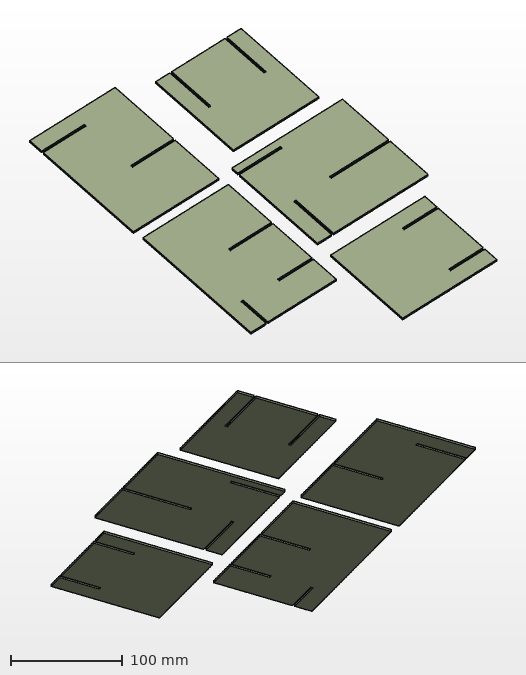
import cadquery as cq


thickness = 2.25
slot_width = thickness

layout_length = 379.43
layout_depth = 246.61

wall_height = 100.0
slot_inset = 17.7

side_length = 108.2
divider_length = 119.0
divider_depth = 129.5
end_depth = 110.2
front_length = 144.1
back_length = 150.0

front_corner = (0.0, 0.0)
back_corner = (155.1, 2.0)
side_corner = (18.1, 132.2)
divider_corner = (142.0, layout_depth - divider_depth)
end_corner = (layout_length - wall_height, divider_corner[1])

side_slot_depth = side_length / 2
half_wall_slot_depth = wall_height / 2
end_slot_depth = 40.0
divider_top_slot_depth = 69.1
divider_right_slot_depth = 52.4
back_right_slot_depth = 34.4

back_right_slot_height = 18.8
front_slot_spacing = 64.8
divider_slot_spacing = 56.2
divider_left_inset = 9.2
back_right_inset = 32.8


def slot(length, depth, edge, position, slot_depth):
    """Cutter for a slot that enters from one edge; position is its centre line along that edge."""
    half_width = slot_width / 2
    if edge in ("top", "bottom"):
        x = position - half_width
        y = depth - slot_depth if edge == "top" else 0.0
        slot_size = (slot_width, slot_depth)
    else:
        x = length - slot_depth if edge == "right" else 0.0
        y = position - half_width
        slot_size = (slot_depth, slot_width)
    return cq.Workplane("XY").box(*slot_size, thickness, centered=False).translate((x, y, 0))


def panel(length, depth, corner, slots):
    """Rectangular sheet with open-ended slots, moved so its lower left corner is at corner."""
    sheet = cq.Workplane("XY").box(length, depth, thickness, centered=False)
    for edge, position, slot_depth in slots:
        sheet = sheet.cut(slot(length, depth, edge, position, slot_depth))
    return sheet.translate((*corner, 0))


front_panel = panel(front_length, wall_height, front_corner, [
    ("bottom", slot_inset, half_wall_slot_depth),
    ("top", slot_inset + front_slot_spacing, half_wall_slot_depth),
])

back_right_slot_x = back_length - back_right_inset
back_panel = panel(back_length, wall_height, back_corner, [
    ("top", back_right_slot_x - divider_slot_spacing, half_wall_slot_depth),
    ("top", back_right_slot_x, end_slot_depth),
    ("right", back_right_slot_height, back_right_slot_depth),
])

side_panel = panel(side_length, wall_height, side_corner, [
    ("left", slot_inset, side_slot_depth),
    ("left", wall_height - slot_inset, side_slot_depth),
])

divider_panel = panel(divider_length, divider_depth, divider_corner, [
    ("bottom", divider_left_inset, half_wall_slot_depth),
    ("top", divider_left_inset + divider_slot_spacing, divider_top_slot_depth),
    ("right", slot_inset, divider_right_slot_depth),
])

end_panel = panel(wall_height, end_depth, end_corner, [
    ("top", slot_inset, end_slot_depth),
    ("top", wall_height - slot_inset, end_slot_depth),
])

result = cq.Compound.makeCompound([
    front_panel.val(),
    back_panel.val(),
    side_panel.val(),
    divider_panel.val(),
    end_panel.val(),
])